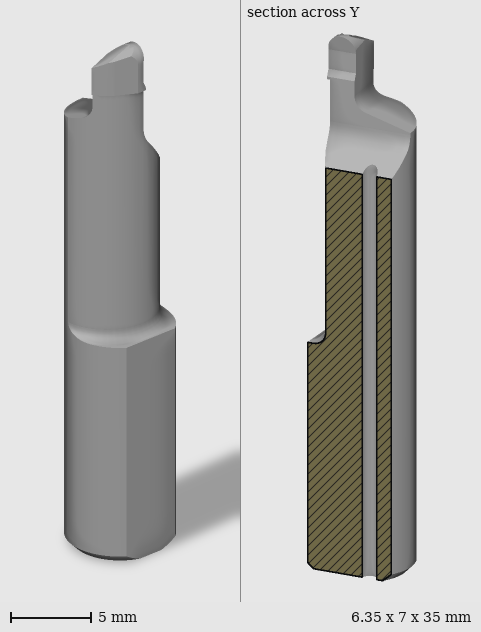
import cadquery as cq
import math

total_height = 35.0
shank_radius = 3.5
shank_flat_x = 2.85
shank_chamfer = 0.52
shoulder_z = 15.0

neck_center_x = -1.2
neck_radius = 3.3
neck_fillet = 0.75

rake_y = 0.07
head_left_x = 0.4
head_right_x = 2.3
head_bottom_z = 32.02
head_step = 0.07
head_radius = neck_radius + head_step
nose_radius = (head_right_x - head_left_x) / 2
nose_center_x = (head_right_x + head_left_x) / 2
nose_center_z = total_height - nose_radius
side_land_y = -0.6
facet_back_x = 1.58
tip_land_y = -0.42
tip_relief_angle = 21.0
tip_roof_angle = 10.0

groove_depth = 0.2
groove_bottom_z = 32.2
groove_floor_bottom_z = 32.65
groove_floor_top_z = 33.95

back_edge_y = 3.3
back_edge_z = 25.13
back_slope = 47.7
back_fillet = 1.55

side_edge_z = 29.4
side_slope = 15.0
side_fillet = 0.98
side_relief_angle = 2.8

hole_x = -1.5
hole_y = 1.75
hole_diameter = 0.98

margin = 3.5
reach = shank_radius + margin
clear_z = total_height + margin


def make_shank():
    shank = cq.Workplane("XY").circle(shank_radius).extrude(total_height)
    shank = shank.faces("<Z").chamfer(shank_chamfer)
    beyond_flat = cq.Workplane("XY").box(
        reach, 2 * reach, 2 * clear_z, centered=(False, True, True)
    )
    return shank.cut(beyond_flat.translate((shank_flat_x, 0, 0)))


def neck_clearance():
    """Space around the neck, with a concave fillet running down to the shoulder."""
    fillet_middle = neck_fillet * (1 - math.sqrt(0.5))
    profile = (
        cq.Workplane("XZ")
        .moveTo(neck_radius, clear_z)
        .lineTo(neck_radius, shoulder_z + neck_fillet)
        .threePointArc(
            (neck_radius + fillet_middle, shoulder_z + fillet_middle),
            (neck_radius + neck_fillet, shoulder_z),
        )
        .lineTo(neck_radius + reach, shoulder_z)
        .lineTo(neck_radius + reach, clear_z)
        .close()
    )
    return profile.revolve(360, (0, 0, 0), (0, 1, 0)).translate((neck_center_x, 0, 0))


def make_head():
    """Head block, slightly proud of the neck, with a flat relief facet on its +X side."""

    def front_point(x):
        return (x, -math.sqrt(head_radius**2 - (x - neck_center_x) ** 2))

    outline = (
        cq.Workplane("XY")
        .workplane(offset=head_bottom_z)
        .moveTo(head_left_x, rake_y)
        .lineTo(head_right_x, rake_y)
        .lineTo(head_right_x, side_land_y)
        .lineTo(*front_point(facet_back_x))
        .threePointArc(front_point((facet_back_x + head_left_x) / 2), front_point(head_left_x))
        .close()
    )
    return outline.extrude(total_height - head_bottom_z)


def sloped_cut(plane, wall, edge, edge_z, slope, fillet):
    """Cut from a vertical wall, through a fillet, down a slope past the edge."""
    direction = math.copysign(1, edge - wall)
    rise = math.tan(math.radians(slope))
    corner_z = edge_z + abs(edge - wall) * rise
    tangent = fillet * math.tan(math.radians(90 - slope) / 2)
    start = (wall, corner_z + tangent)
    end = (
        wall + direction * tangent * math.cos(math.radians(slope)),
        corner_z - tangent * math.sin(math.radians(slope)),
    )
    far = wall + direction * 2 * reach
    return (
        cq.Workplane(plane)
        .moveTo(wall, clear_z)
        .lineTo(*start)
        .tangentArcPoint(end, relative=False)
        .lineTo(far, corner_z - 2 * reach * rise)
        .lineTo(far, clear_z)
        .close()
        .extrude(2 * reach, both=True)
    )


def side_cut():
    cutter = sloped_cut("XZ", head_left_x, -shank_radius, side_edge_z, side_slope, side_fillet)
    return cutter.rotate(
        (head_left_x, rake_y, 0), (head_left_x, rake_y, 1), side_relief_angle
    )


def nose_cut():
    """Space outside the round end of the head."""
    return (
        cq.Workplane("XZ")
        .moveTo(head_left_x, nose_center_z)
        .threePointArc((nose_center_x, total_height), (head_right_x, nose_center_z))
        .lineTo(head_right_x + margin, nose_center_z)
        .lineTo(head_right_x + margin, clear_z)
        .lineTo(head_left_x - margin, clear_z)
        .lineTo(head_left_x - margin, nose_center_z)
        .close()
        .extrude(reach, both=True)
    )


def tip_relief_cut():
    drop = reach * math.tan(math.radians(tip_relief_angle))
    outline = [
        (tip_land_y, total_height),
        (tip_land_y - reach, total_height - drop),
        (tip_land_y - reach, total_height),
    ]
    half = cq.Workplane("YZ").polyline(outline).close().extrude(reach, both=True)
    ridge_start = (nose_center_x, tip_land_y, total_height)
    ridge_end = (nose_center_x, tip_land_y - reach, total_height - drop)
    left = half.rotate(ridge_start, ridge_end, tip_roof_angle)
    right = half.rotate(ridge_start, ridge_end, -tip_roof_angle)
    return left.union(right)


def rake_groove():
    floor_y = rake_y - groove_depth
    outline = [
        (rake_y, groove_bottom_z),
        (floor_y, groove_floor_bottom_z),
        (floor_y, groove_floor_top_z),
        (rake_y, total_height),
    ]
    return cq.Workplane("YZ").polyline(outline).close().extrude(reach, both=True)


def coolant_hole():
    hole = cq.Workplane("XY").center(hole_x, hole_y).circle(hole_diameter / 2)
    return hole.extrude(total_height)


result = make_shank().cut(neck_clearance()).union(make_head())
result = result.cut(sloped_cut("YZ", rake_y, back_edge_y, back_edge_z, back_slope, back_fillet))
result = result.cut(side_cut()).cut(nose_cut()).cut(tip_relief_cut())
result = result.cut(rake_groove()).cut(coolant_hole())